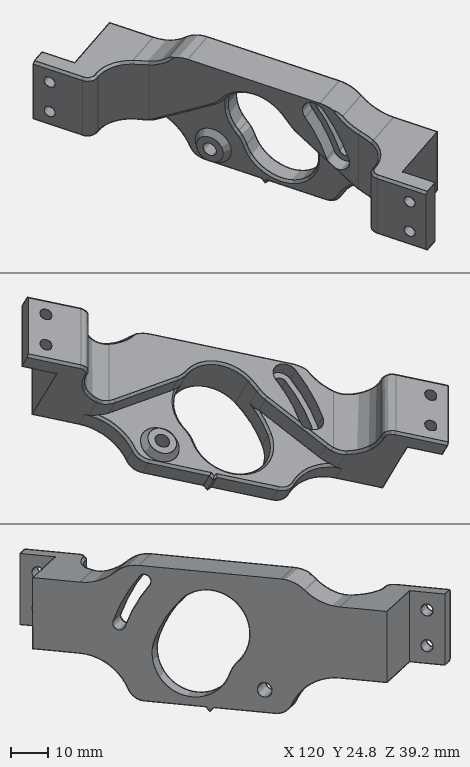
import cadquery as cq
import math


half_length = 60.0
depth = 24.8
arm_half_height = 20.0 / 2
body_top = 16.3
plate_bottom = -21.7
body_thickness = 11.2
plate_thickness = 5.4
edge_chamfer = 0.7

tab_thickness = 5.0
arm_outer_x = 50.0
arm_inner_x = 42.0
arm_root_radius = 10.0
foot_radius = 3.0

flank_radius = 15.0
flank_start_x = 36.7
top_corner_radius = 10.0
plate_corner_radius = 5.0

pointer_height = 1.2
pointer_half_width = 1.1

pivot_x = -15.5
pivot_z = -15.4
boss_height = 1.9
boss_base_radius = 5.5
boss_top_radius = 4.1
pivot_hole_radius = 2.0

window_radius = 11.3
window_path_radius = math.hypot(pivot_x, pivot_z)
window_upper_angle = math.degrees(math.atan2(-pivot_z, -pivot_x))
window_swing = 25.0
slot_path_radius = 43.7
slot_start_angle = 19.8
slot_end_angle = 39.0
slot_half_width = 1.8
slot_recess_half_width = 3.6
slot_floor_thickness = 7.0

relief_slope = 33.5
relief_offset = 9.6
relief_blend_radius = 10.0

screw_x = 55.0
screw_z = 5.0
screw_radius = 1.7


def front_plane(y=0.0):
    """Workplane at depth `y` facing -Y, with local axes along X and Z."""
    return cq.Workplane("XZ", origin=(0, y, 0))


def on_circle(center, radius, angle):
    """Point on a circle, with the angle in degrees from +X."""
    turn = math.radians(angle)
    return (center[0] + radius * math.cos(turn), center[1] + radius * math.sin(turn))


def mirrored(point):
    """Point on the other side of the centre plane."""
    return (-point[0], point[1])


def shoulder(drop, corner_radius):
    """Sweep angle (degrees) and run of two tangent arcs that join levels `drop` apart."""
    radii = flank_radius + corner_radius
    sweep = math.acos(1 - drop / radii)
    return math.degrees(sweep), radii * math.sin(sweep)


def ring_sector(path_radius, half_width, start, end, thickness):
    """Round-ended slot swept around the pivot, from Y = 0 toward the front."""
    pivot = (pivot_x, pivot_z)
    middle = (start + end) / 2
    inner = path_radius - half_width
    outer = path_radius + half_width
    end_cap = on_circle(on_circle(pivot, path_radius, end), half_width, end + 90)
    start_cap = on_circle(on_circle(pivot, path_radius, start), half_width, start - 90)
    return (
        front_plane()
        .moveTo(*on_circle(pivot, outer, start))
        .threePointArc(on_circle(pivot, outer, middle), on_circle(pivot, outer, end))
        .threePointArc(end_cap, on_circle(pivot, inner, end))
        .threePointArc(on_circle(pivot, inner, middle), on_circle(pivot, inner, start))
        .threePointArc(start_cap, on_circle(pivot, outer, start))
        .close()
        .extrude(thickness)
    )


def window(thickness):
    """Window circle at the origin, swung down around the pivot."""
    lower_angle = window_upper_angle - window_swing
    return ring_sector(window_path_radius, window_radius, lower_angle, window_upper_angle, thickness)


def relief_blend(center, radius, side):
    """Arc that rounds the corner between a circle and a sloping relief side.

    `side` is -1 for the left relief side and 1 for the right one. Returns the
    end on the circle, the middle, and the end on the sloping side.
    """
    slope = math.radians(relief_slope)
    normal = (side * math.sin(slope), math.cos(slope))
    down = (side * math.cos(slope), -math.sin(slope))
    reach = radius + relief_blend_radius
    rise = relief_offset + relief_blend_radius - center[0] * normal[0] - center[1] * normal[1]
    run = math.sqrt(reach**2 - rise**2)
    blend_center = (
        center[0] + rise * normal[0] + run * down[0],
        center[1] + rise * normal[1] + run * down[1],
    )
    circle_angle = math.degrees(math.atan2(center[1] - blend_center[1], center[0] - blend_center[0]))
    turn = side * math.degrees(math.atan2(run, rise))
    return [on_circle(blend_center, relief_blend_radius, circle_angle + part * turn) for part in (0, 0.5, 1)]


def bridge_outline():
    """Thick bridge and arms seen from the front, reaching above the final top edge.

    The flank arcs run on past the top corners, so that their chamfers fade out
    where the corners are trimmed afterwards.
    """
    blank_top = body_top + 2 * edge_chamfer
    flank_center = (-flank_start_x, arm_half_height + flank_radius)
    flank_sweep = math.degrees(math.acos((flank_center[1] - blank_top) / flank_radius))
    flank_middle = on_circle(flank_center, flank_radius, flank_sweep / 2 - 90)
    flank_end = on_circle(flank_center, flank_radius, flank_sweep - 90)
    flank_start = (-flank_start_x, arm_half_height)

    slope = math.radians(relief_slope)
    corner_x = -(relief_offset / math.cos(slope) + arm_half_height) / math.tan(slope)
    blend_start = (corner_x - relief_blend_radius * math.tan(slope / 2), -arm_half_height)
    blend_center = (blend_start[0], relief_blend_radius - arm_half_height)
    blend_middle = on_circle(blend_center, relief_blend_radius, relief_slope / 2 - 90)
    blend_end = on_circle(blend_center, relief_blend_radius, relief_slope - 90)

    outer_radius = window_path_radius + window_radius
    left_touch, left_middle, left_end = relief_blend((0, 0), window_radius, -1)
    right_touch, right_middle, right_end = relief_blend((pivot_x, pivot_z), outer_radius, 1)
    right_angle = math.degrees(math.atan2(right_touch[1] - pivot_z, right_touch[0] - pivot_x))
    outer_middle = on_circle((pivot_x, pivot_z), outer_radius, (right_angle + window_upper_angle) / 2)
    window_corner = on_circle((0, 0), window_radius, window_upper_angle)

    return (
        front_plane()
        .moveTo(-half_length, -arm_half_height)
        .lineTo(*blend_start)
        .threePointArc(blend_middle, blend_end)
        .lineTo(*left_end)
        .threePointArc(left_middle, left_touch)
        .threePointArc((0, window_radius), window_corner)
        .threePointArc(outer_middle, right_touch)
        .threePointArc(right_middle, right_end)
        .lineTo(*mirrored(blend_end))
        .threePointArc(mirrored(blend_middle), mirrored(blend_start))
        .lineTo(half_length, -arm_half_height)
        .lineTo(half_length, arm_half_height)
        .lineTo(*mirrored(flank_start))
        .threePointArc(mirrored(flank_middle), mirrored(flank_end))
        .lineTo(*flank_end)
        .threePointArc(flank_middle, flank_start)
        .lineTo(-half_length, arm_half_height)
        .close()
    )


def front_hollow():
    """Space between the two arms, in front of the bridge."""
    root_start_x = arm_inner_x - arm_root_radius
    root_y = -body_thickness - arm_root_radius
    foot_y = -depth + foot_radius
    foot_x = arm_inner_x + foot_radius
    root_middle = on_circle((root_start_x, root_y), arm_root_radius, 45)
    foot_middle = on_circle((foot_x, foot_y), foot_radius, 225)
    return (
        cq.Workplane("XY")
        .moveTo(-root_start_x, -body_thickness)
        .lineTo(root_start_x, -body_thickness)
        .threePointArc(root_middle, (arm_inner_x, root_y))
        .lineTo(arm_inner_x, foot_y)
        .threePointArc(foot_middle, (foot_x, -depth))
        .lineTo(-foot_x, -depth)
        .threePointArc(mirrored(foot_middle), (-arm_inner_x, foot_y))
        .lineTo(-arm_inner_x, root_y)
        .threePointArc(mirrored(root_middle), (-root_start_x, -body_thickness))
        .close()
        .extrude(body_top - plate_bottom, both=True)
    )


def top_trim():
    """Envelope that gives the top edge its level and its rounded corners."""
    sweep, run = shoulder(body_top - arm_half_height, top_corner_radius)
    corner_center = (run - flank_start_x, body_top - top_corner_radius)
    corner_start = on_circle(corner_center, top_corner_radius, 90 + sweep)
    corner_middle = on_circle(corner_center, top_corner_radius, 90 + sweep / 2)
    corner_end = (corner_center[0], body_top)
    return (
        front_plane()
        .moveTo(-half_length, plate_bottom)
        .lineTo(half_length, plate_bottom)
        .lineTo(half_length, corner_start[1])
        .lineTo(*mirrored(corner_start))
        .threePointArc(mirrored(corner_middle), mirrored(corner_end))
        .lineTo(*corner_end)
        .threePointArc(corner_middle, corner_start)
        .lineTo(-half_length, corner_start[1])
        .close()
        .extrude(depth)
    )


def make_bridge():
    """Thick upper body with both arms and their screw tabs."""
    bridge = bridge_outline().extrude(depth)
    bridge = bridge.cut(front_hollow())
    reach_x = half_length - edge_chamfer
    reach_z = body_top - plate_bottom
    front_y = -body_thickness + edge_chamfer
    front_region = cq.selectors.BoxSelector((-reach_x, -2 * depth, -reach_z), (reach_x, front_y, reach_z))
    bridge = bridge.edges(front_region).edges("not |Z").chamfer(edge_chamfer)
    gap_width = half_length - arm_outer_x
    gap_depth = depth - tab_thickness
    for side in (-1, 1):
        gap_center = (side * (half_length - gap_width / 2), -gap_depth / 2, 0)
        gap = cq.Workplane("XY").box(gap_width, gap_depth, 2 * body_top)
        bridge = bridge.cut(gap.translate(gap_center))
    return bridge.intersect(top_trim())


def make_plate():
    """Thin plate with the pointer; its sides and top are buried in the bridge."""
    sweep, run = shoulder(-arm_half_height - plate_bottom, plate_corner_radius)
    flank_start = (-flank_start_x, -arm_half_height)
    flank_center = (-flank_start_x, -arm_half_height - flank_radius)
    flank_middle = on_circle(flank_center, flank_radius, 90 - sweep / 2)
    flank_end = on_circle(flank_center, flank_radius, 90 - sweep)
    corner_end = (run - flank_start_x, plate_bottom)
    corner_center = (corner_end[0], plate_bottom + plate_corner_radius)
    corner_middle = on_circle(corner_center, plate_corner_radius, 270 - sweep / 2)
    plate = (
        front_plane()
        .moveTo(*flank_start)
        .threePointArc(flank_middle, flank_end)
        .threePointArc(corner_middle, corner_end)
        .lineTo(-pointer_half_width, plate_bottom)
        .lineTo(0, plate_bottom - pointer_height)
        .lineTo(pointer_half_width, plate_bottom)
        .lineTo(*mirrored(corner_end))
        .threePointArc(mirrored(corner_middle), mirrored(flank_end))
        .threePointArc(mirrored(flank_middle), mirrored(flank_start))
        .lineTo(flank_start_x, arm_half_height)
        .lineTo(-flank_start_x, arm_half_height)
        .close()
        .extrude(plate_thickness)
    )
    plate = plate.cut(window(plate_thickness))
    return plate.faces("<Y").edges().chamfer(edge_chamfer)


def make_boss():
    """Tapered boss on the front of the plate."""
    return (
        front_plane(-plate_thickness)
        .center(pivot_x, pivot_z)
        .circle(boss_base_radius)
        .workplane(offset=boss_height)
        .circle(boss_top_radius)
        .loft()
    )


def cut_openings(body):
    """Curved slot with its recess, pivot hole and screw holes."""
    slot = ring_sector(slot_path_radius, slot_half_width, slot_start_angle, slot_end_angle, depth)
    recess = ring_sector(slot_path_radius, slot_recess_half_width, slot_start_angle, slot_end_angle, depth)
    recess = recess.translate((0, -slot_floor_thickness, 0))
    pivot_hole = front_plane().center(pivot_x, pivot_z).circle(pivot_hole_radius).extrude(depth)
    screw_spots = [(x, z) for x in (-screw_x, screw_x) for z in (-screw_z, screw_z)]
    screw_holes = front_plane().pushPoints(screw_spots).circle(screw_radius).extrude(depth)
    return body.cut(slot).cut(recess).cut(pivot_hole).cut(screw_holes)


body = make_bridge().union(make_plate()).union(make_boss())
result = cut_openings(body)